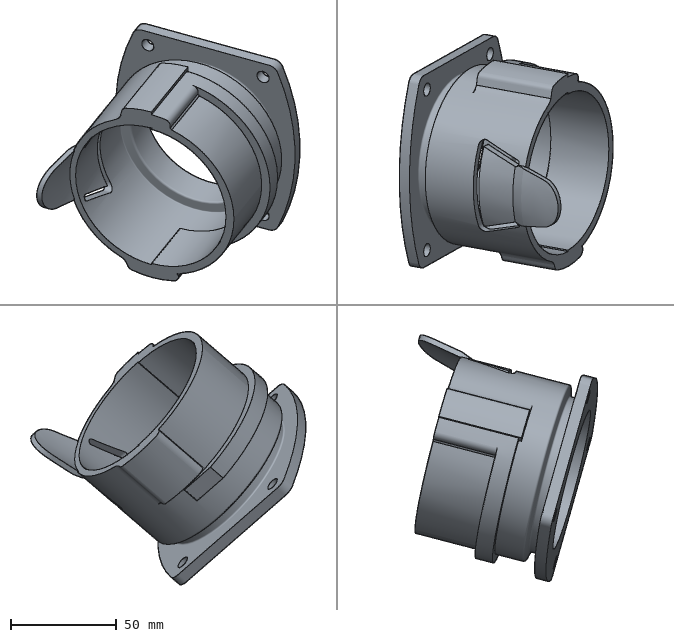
import math
import cadquery as cq


total_length = 65.3
flange_thickness = 5.6
flange_front = total_length - flange_thickness
shoulder_start = 52.7
shoulder_round_end = 53.55
shoulder_end = 54.7
bore_depth = 49.3
liner_depth = 31.6

body_radius = 86.5 / 2
shoulder_round_radius = 42.7
neck_radius = 76.0 / 2
neck_fillet = 0.75
bore_radius = 79.5 / 2
bore_floor_fillet = 0.5
liner_radius = 39.05
passage_radius = 68.0 / 2
passage_edge_round = 1.0

flange_half_height = 48.0
flange_half_width = 47.0
flange_corner_half_width = 36.6
flange_corner_radius = 5.0
mount_hole_diameter = 6.3
mount_hole_x = 30.2
mount_hole_z = 40.15

lug_root_radius = 41.5
top_lug_radius = 49.15
top_lug_length = 40.6
top_lug_left_foot = -19.5
top_lug_left_root_start = (-18.3, 39.4)
top_lug_left_flank_low = (-16.4, 41.5)
top_lug_left_flank_high = (-15.6, 44.9)
top_lug_left_crest = -13.6
top_lug_right_crest = 7.3
top_lug_right_flank_high = (9.83, 44.6)
top_lug_right_flank_low = (9.83, 42.8)
top_lug_right_foot = 10.6

bottom_lug_radius = 47.2
bottom_lug_length = 29.0
bottom_lug_left_foot = -15.6
bottom_lug_left_flank_near = (-13.1, -42.8)
bottom_lug_left_flank_far = (-12.5, -44.2)
bottom_lug_left_crest = -10.3
bottom_lug_right_crest = 11.5
bottom_lug_right_flank_far = (14.2, -43.0)
bottom_lug_right_flank_near = (14.2, -42.2)
bottom_lug_right_foot = 13.5
bottom_lug_root_hollow = 0.3

collar_radius = 47.58
collar_front = 30.7
collar_back = 39.2
collar_flat_z = -44.2

tongue_overhang = 22.67
tongue_tip_radius = 49.44
tongue_bend_radius = 45.6
tongue_bend_overhang = 0.5
tongue_root_depth = 5.5
tongue_thickness = 2.75
tongue_half_width = 14.66
tongue_end_radius = 12.0
tongue_taper = math.radians(11.5)
slot_width = 3.0
slot_back_depth = 24.06
slot_corner_z = 20.0
slot_end_depth = 5.7
slot_end_z = 13.95

quarter_arc_inset = 1 - math.sqrt(0.5)


def extrude_y(outline, start, end):
    """Extrude an outline drawn on an XZ workplane from Y = start to Y = end."""
    return outline.extrude(start - end).translate((0, start, 0))


def xz():
    return cq.Workplane("XZ")


def polar(radius, x, side=1):
    """Point at the given X on a circle about the axis, above (+1) or below (-1) it."""
    return (x, side * math.sqrt(radius**2 - x**2))


def make_body():
    """Barrel, shoulder and neck as one turned solid."""
    fillet_radius = neck_radius + neck_fillet
    bulge = neck_fillet * quarter_arc_inset
    profile = (
        cq.Workplane("XY")
        .moveTo(0, 0)
        .lineTo(body_radius, 0)
        .lineTo(body_radius, shoulder_start)
        .tangentArcPoint((shoulder_round_radius, shoulder_round_end), relative=False)
        .lineTo(fillet_radius, shoulder_end)
        .threePointArc(
            (neck_radius + bulge, shoulder_end + bulge),
            (neck_radius, shoulder_end + neck_fillet),
        )
        .lineTo(neck_radius, flange_front - neck_fillet)
        .threePointArc((neck_radius + bulge, flange_front - bulge), (fillet_radius, flange_front))
        .lineTo(0, flange_front)
        .close()
    )
    return profile.revolve(360, (0, 0, 0), (0, 1, 0))


def make_flange():
    """Plate with straight top and bottom, bowed sides, rounded corners and four holes."""
    x = flange_corner_half_width
    z = flange_half_height
    outline = (
        xz()
        .moveTo(-x, -z)
        .lineTo(x, -z)
        .threePointArc((flange_half_width, 0), (x, z))
        .lineTo(-x, z)
        .threePointArc((-flange_half_width, 0), (-x, -z))
        .close()
    )
    plate = extrude_y(outline, flange_front, total_length).edges("|Y").fillet(flange_corner_radius)
    holes = xz().rect(2 * mount_hole_x, 2 * mount_hole_z, forConstruction=True).vertices()
    return plate.cut(extrude_y(holes.circle(mount_hole_diameter / 2), flange_front, total_length))


def make_top_lug():
    """Left part of the upper lug, at full height up to the axis plane."""
    outline = (
        xz()
        .moveTo(*polar(lug_root_radius, top_lug_left_foot))
        .lineTo(*polar(body_radius, top_lug_left_foot))
        .lineTo(*top_lug_left_root_start)
        .tangentArcPoint(top_lug_left_flank_low, relative=False)
        .lineTo(*top_lug_left_flank_high)
        .tangentArcPoint(polar(top_lug_radius, top_lug_left_crest), relative=False)
        .threePointArc(polar(top_lug_radius, top_lug_left_crest / 2), (0, top_lug_radius))
        .lineTo(0, lug_root_radius)
        .threePointArc(
            polar(lug_root_radius, top_lug_left_foot / 2),
            polar(lug_root_radius, top_lug_left_foot),
        )
        .close()
    )
    return extrude_y(outline, 0, top_lug_length)


def make_top_lug_step():
    """Right part of the upper lug, flush with the collar and ending against its front face."""
    outline = (
        xz()
        .moveTo(0, lug_root_radius)
        .lineTo(0, collar_radius)
        .threePointArc(
            polar(collar_radius, top_lug_right_crest / 2),
            polar(collar_radius, top_lug_right_crest),
        )
        .tangentArcPoint(top_lug_right_flank_high, relative=False)
        .lineTo(*top_lug_right_flank_low)
        .lineTo(*polar(body_radius, top_lug_right_foot))
        .lineTo(*polar(lug_root_radius, top_lug_right_foot))
        .threePointArc(polar(lug_root_radius, top_lug_right_foot / 2), (0, lug_root_radius))
        .close()
    )
    return extrude_y(outline, 0, collar_front)


def make_bottom_lug():
    """Lower lug, with a hollow left root and a slightly undercut right flank."""
    outline = (
        xz()
        .moveTo(*polar(lug_root_radius, bottom_lug_left_foot, -1))
        .lineTo(*polar(body_radius, bottom_lug_left_foot, -1))
        .sagittaArc(bottom_lug_left_flank_near, bottom_lug_root_hollow)
        .lineTo(*bottom_lug_left_flank_far)
        .tangentArcPoint(polar(bottom_lug_radius, bottom_lug_left_crest, -1), relative=False)
        .threePointArc((0, -bottom_lug_radius), polar(bottom_lug_radius, bottom_lug_right_crest, -1))
        .tangentArcPoint(bottom_lug_right_flank_far, relative=False)
        .lineTo(*bottom_lug_right_flank_near)
        .lineTo(*polar(body_radius, bottom_lug_right_foot, -1))
        .lineTo(*polar(lug_root_radius, bottom_lug_right_foot, -1))
        .threePointArc((0, -lug_root_radius), polar(lug_root_radius, bottom_lug_left_foot, -1))
        .close()
    )
    return extrude_y(outline, 0, bottom_lug_length)


def make_collar():
    """Half-ring rib on the +X side, ending at the bottom on a level flat."""
    flat_x = math.sqrt(collar_radius**2 - collar_flat_z**2)
    outline = (
        xz()
        .moveTo(0, collar_radius)
        .threePointArc((collar_radius, 0), (flat_x, collar_flat_z))
        .lineTo(0, collar_flat_z)
        .close()
    )
    return extrude_y(outline, collar_front, collar_back)


def make_tongue():
    """Latch tongue: a bent, flared shell trimmed to a tapered outline with a round end."""
    tip_y = -tongue_overhang
    bend_y = -tongue_bend_overhang
    tip_inner = tongue_tip_radius - tongue_thickness
    flare = (tongue_tip_radius - tongue_bend_radius) / (tongue_overhang - tongue_bend_overhang)
    mouth_inner = tip_inner - flare * tongue_overhang
    shell = (
        cq.Workplane("XY")
        .moveTo(-lug_root_radius, tongue_root_depth)
        .lineTo(-body_radius, tongue_root_depth)
        .lineTo(-tongue_bend_radius, bend_y)
        .lineTo(-tongue_tip_radius, tip_y)
        .lineTo(-tip_inner, tip_y)
        .lineTo(-mouth_inner, 0)
        .lineTo(-lug_root_radius, 0)
        .close()
        .revolve(360, (0, 0, 0), (0, 1, 0))
    )
    end_center_y = tip_y + tongue_end_radius
    tangent_y = end_center_y - tongue_end_radius * math.sin(tongue_taper)
    tangent_z = tongue_end_radius * math.cos(tongue_taper)
    taper_y = tangent_y + (tongue_half_width - tangent_z) / math.tan(tongue_taper)
    outline = (
        cq.Workplane("YZ")
        .moveTo(tongue_root_depth, -tongue_half_width)
        .lineTo(taper_y, -tongue_half_width)
        .lineTo(tangent_y, -tangent_z)
        .threePointArc((tip_y, 0), (tangent_y, tangent_z))
        .lineTo(taper_y, tongue_half_width)
        .lineTo(tongue_root_depth, tongue_half_width)
        .close()
    )
    return shell.intersect(outline.extrude(-2 * tongue_tip_radius))


def make_bore():
    """Bore with a filleted floor and a round-edged passage; a liner keeps the +X half tighter."""
    bulge = passage_edge_round * quarter_arc_inset
    profile = (
        cq.Workplane("XY")
        .moveTo(0, 0)
        .lineTo(bore_radius, 0)
        .lineTo(bore_radius, bore_depth - bore_floor_fillet)
        .tangentArcPoint((bore_radius - bore_floor_fillet, bore_depth), relative=False)
        .lineTo(passage_radius + passage_edge_round, bore_depth)
        .threePointArc(
            (passage_radius + bulge, bore_depth + bulge),
            (passage_radius, bore_depth + passage_edge_round),
        )
        .lineTo(passage_radius, total_length)
        .lineTo(0, total_length)
        .close()
    )
    bore = profile.revolve(360, (0, 0, 0), (0, 1, 0))
    liner_outline = (
        xz()
        .moveTo(0, liner_radius)
        .lineTo(0, body_radius)
        .threePointArc((body_radius, 0), (0, -body_radius))
        .lineTo(0, -liner_radius)
        .threePointArc((liner_radius, 0), (0, liner_radius))
        .close()
    )
    return bore.cut(extrude_y(liner_outline, 0, liner_depth))


def make_slot():
    """Slot of constant width around the tongue root, cut through the -X wall only."""
    run = slot_back_depth - slot_end_depth
    rise = slot_corner_z - slot_end_z
    length = math.hypot(run, rise)
    along_y, along_z = -run / length, -rise / length
    out_y, out_z = along_z, -along_y
    half = slot_width / 2

    def point(base_y, base_z, outward, forward, side):
        y = base_y + outward * out_y + forward * along_y
        z = base_z + outward * out_z + forward * along_z
        return (y, side * z)

    def corner(outward, side):
        return point(slot_back_depth, slot_corner_z, outward, 0, side)

    def end(outward, forward, side):
        return point(slot_end_depth, slot_end_z, outward, forward, side)

    mid_angle = (math.pi / 2 + math.atan2(rise, run)) / 2
    arc_y = slot_back_depth + slot_width * math.cos(mid_angle)
    arc_z = slot_corner_z + slot_width * math.sin(mid_angle)
    back_y = slot_back_depth + slot_width
    outline = (
        cq.Workplane("YZ")
        .moveTo(*end(0, 0, 1))
        .lineTo(*corner(0, 1))
        .lineTo(*corner(0, -1))
        .lineTo(*end(0, 0, -1))
        .threePointArc(end(half, half, -1), end(slot_width, 0, -1))
        .lineTo(*corner(slot_width, -1))
        .threePointArc((arc_y, -arc_z), (back_y, -slot_corner_z))
        .lineTo(back_y, slot_corner_z)
        .threePointArc((arc_y, arc_z), corner(slot_width, 1))
        .lineTo(*end(slot_width, 0, 1))
        .threePointArc(end(half, half, 1), end(0, 0, 1))
        .close()
    )
    return outline.extrude(-2 * body_radius)


result = make_body().union(make_flange())
for make_feature in (make_top_lug, make_top_lug_step, make_bottom_lug, make_collar, make_tongue):
    result = result.union(make_feature())
result = result.cut(make_bore()).cut(make_slot())